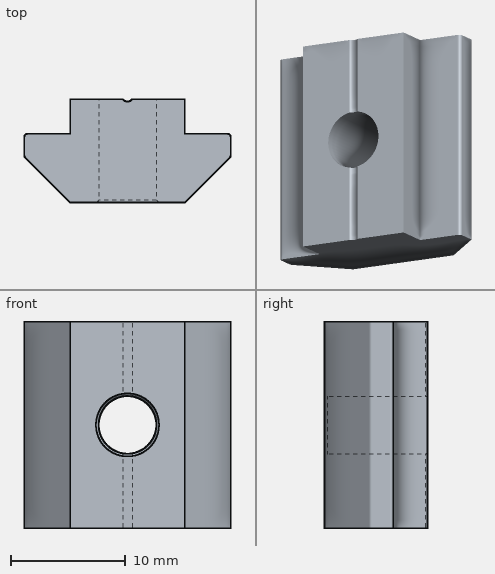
import cadquery as cq

width = 18.0
depth = 9.0
length = 18.0

neck_width = 10.0
neck_height = 3.0
base_width = 10.0
edge_radius = 0.3

groove_width = 0.8
groove_depth = 0.2

hole_diameter = 5.0
countersink_diameter = 5.5

front_y = -depth / 2
back_y = depth / 2
shoulder_y = back_y - neck_height
flank_y = front_y + (width - base_width) / 2


def nut_body():
    """Extrude the T-shaped section along Z and round the wing edges."""
    section = (
        cq.Workplane("XY")
        .workplane(offset=-length / 2)
        .moveTo(-base_width / 2, front_y)
        .lineTo(base_width / 2, front_y)
        .lineTo(width / 2, flank_y)
        .lineTo(width / 2, shoulder_y)
        .lineTo(neck_width / 2, shoulder_y)
        .lineTo(neck_width / 2, back_y)
        .lineTo(groove_width / 2, back_y)
        .threePointArc((0, back_y - groove_depth), (-groove_width / 2, back_y))
        .lineTo(-neck_width / 2, back_y)
        .lineTo(-neck_width / 2, shoulder_y)
        .lineTo(-width / 2, shoulder_y)
        .lineTo(-width / 2, flank_y)
        .close()
    )
    wing_edges = cq.selectors.SumSelector(
        cq.selectors.StringSyntaxSelector("|Z and >X"),
        cq.selectors.StringSyntaxSelector("|Z and <X"),
    )
    return section.extrude(length).edges(wing_edges).fillet(edge_radius)


def screw_hole():
    """Through hole along Y with a 45 degree countersink on the -Y face."""
    hole_radius = hole_diameter / 2
    countersink_radius = countersink_diameter / 2
    countersink_depth = countersink_radius - hole_radius
    half_profile = (
        cq.Workplane("XY")
        .moveTo(0, front_y)
        .lineTo(countersink_radius, front_y)
        .lineTo(hole_radius, front_y + countersink_depth)
        .lineTo(hole_radius, back_y)
        .lineTo(0, back_y)
        .close()
    )
    return half_profile.revolve(360, (0, 0, 0), (0, 1, 0))


result = nut_body().cut(screw_hole())